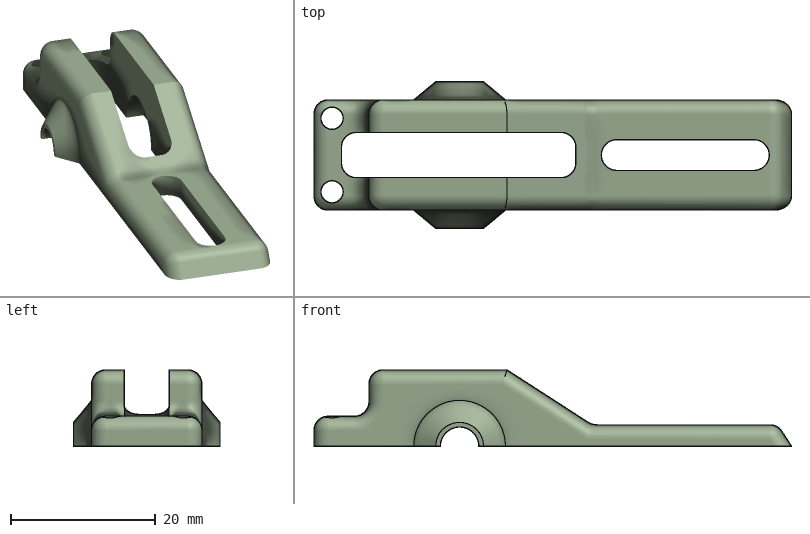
import cadquery as cq
import math

length = 66.1
width = 15.3
height = 10.6
step_height = 4.15
tail_height = 3.0
wall_front_x = 7.6
ramp_top_x = 26.7
ramp_foot_x = 38.5
tail_tip_angle = 33.0
edge_radius = 2.0
ramp_foot_radius = 2.6

long_slot_start, long_slot_end = 3.85, 36.2
long_slot_width = 6.2
long_slot_corner_radius = 2.0
tail_slot_start, tail_slot_end = 39.8, 63.0
tail_slot_width = 4.2
pin_hole_x = 2.5
pin_hole_spacing = 10.2
pin_hole_diameter = 3.05

boss_x = 20.15
boss_span = 20.3
boss_base_radius = 6.35
boss_tip_radius = 3.3
bore_radius = 2.65
socket_radius = 5.4
socket_depth = 2.5


def make_body():
    """Extrude the side outline and round its outer edges."""
    tail_top_x = length - tail_height * math.tan(math.radians(tail_tip_angle))
    outline = [
        (0, 0),
        (0, step_height),
        (wall_front_x, step_height),
        (wall_front_x, height),
        (ramp_top_x, height),
        (ramp_foot_x, tail_height),
        (tail_top_x, tail_height),
        (length, 0),
    ]
    body = cq.Workplane("XZ").polyline(outline).close().extrude(width / 2, both=True)
    inner_corner = cq.selectors.NearestToPointSelector((wall_front_x, 0, step_height))
    body = body.edges(inner_corner).fillet(edge_radius)
    side_edges = body.faces("<Y or >Y").edges("not <Z")
    front_edges = body.edges("|Y").edges("<X").edges(">Z")
    wall_edge = body.edges(cq.selectors.NearestToPointSelector((wall_front_x, 0, height)))
    tail_edge = body.edges(cq.selectors.NearestToPointSelector((tail_top_x, 0, tail_height)))
    body = side_edges.add(front_edges).add(wall_edge).add(tail_edge).fillet(edge_radius)
    foot_edge = cq.selectors.NearestToPointSelector((ramp_foot_x, 0, tail_height))
    return body.edges(foot_edge).fillet(ramp_foot_radius)


def make_bosses():
    """Cones on both sides, cut in half by the underside plane."""
    profile = [
        (0, -boss_span / 2),
        (boss_tip_radius, -boss_span / 2),
        (boss_base_radius, -width / 2),
        (boss_base_radius, width / 2),
        (boss_tip_radius, boss_span / 2),
        (0, boss_span / 2),
    ]
    cones = cq.Workplane("XY").polyline(profile).close().revolve(360, (0, 0), (0, 1))
    upper_half = cq.Workplane("XY").box(length, boss_span, height, centered=(False, True, False))
    return cones.translate((boss_x, 0, 0)).intersect(upper_half)


def make_long_slot():
    slot_length = long_slot_end - long_slot_start
    slot = cq.Workplane("XY").box(slot_length, long_slot_width, height, centered=(False, True, False))
    return slot.edges("|Z").fillet(long_slot_corner_radius).translate((long_slot_start, 0, 0))


def make_tail_slot():
    slot_center_x = (tail_slot_start + tail_slot_end) / 2
    slot = cq.Workplane("XY").center(slot_center_x, 0)
    return slot.slot2D(tail_slot_end - tail_slot_start, tail_slot_width).extrude(height)


def make_pin_holes():
    half_spacing = pin_hole_spacing / 2
    centers = [(pin_hole_x, -half_spacing), (pin_hole_x, half_spacing)]
    return cq.Workplane("XY").pushPoints(centers).circle(pin_hole_diameter / 2).extrude(height)


def make_stepped_bore():
    """Through bore with a wider flat-bottomed socket on the inner face of each wall."""
    axis_plane = cq.Workplane("XZ").center(boss_x, 0)
    bore = axis_plane.circle(bore_radius).extrude(boss_span / 2, both=True)
    sockets = axis_plane.circle(socket_radius).extrude(long_slot_width / 2 + socket_depth, both=True)
    return bore.union(sockets)


result = make_body().union(make_bosses())
for opening in (make_long_slot(), make_tail_slot(), make_pin_holes(), make_stepped_bore()):
    result = result.cut(opening)